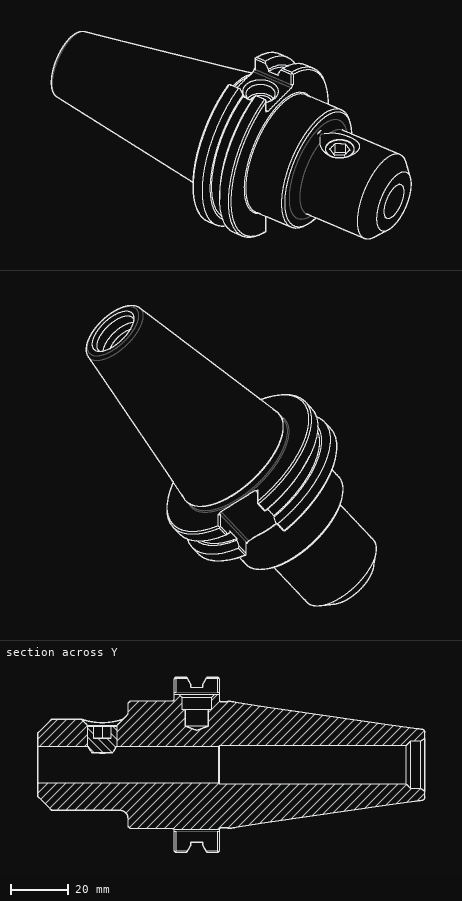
import cadquery as cq
import math

taper_length = 68.3
gauge_dia = 44.5
taper_ratio = 7 / 24
small_end_dia = gauge_dia - taper_ratio * taper_length
small_end_fillet = 1.2
neck_dia = 44.0
neck_chamfer_length = 0.4

flange_start = 71.5
flange_end = 87.4
flange_dia = 63.5
flange_chamfer = 0.7
flange_root_fillet = 0.4
flange_middle = (flange_start + flange_end) / 2

groove_dia = 56.3
groove_floor_width = 4.0
groove_mouth_width = 7.1
groove_flank_depth = 2.7

slot_width = 16.2
upper_slot_floor = 24.5
lower_slot_floor = 22.5
slot_floor_fillet = 0.7
slot_edge_chamfer = 0.7

blind_hole_dia = 10.1
blind_hole_mouth_dia = 12.4
blind_hole_depth = 5.3
pilot_dia = 8.0
pilot_depth = 11.0
drill_point_angle = 140

collar_dia = 44.5
collar_end = 103.4
collar_chamfer = 0.8
nose_dia = 31.8
nose_end = 134.8
nose_chamfer = 4.9
nose_root_fillet = 2.7

draw_bore_dia = 13.3
draw_bore_end = flange_start
tool_bore_dia = 12.7
counterbore_dia = 16.5
counterbore_end = 5.0
bore_mouth_dia = 18.3
bore_mouth_depth = 1.5

cutter_overshoot = 1.3
match_tolerance = 0.01

screw_x = 112.3
screw_dia = 10.0
screw_tip_dia = 7.3
screw_tip_length = 2.2
screw_tip_z = 4.2
screw_head_z = 13.3
screw_hole_mouth_dia = 14.5
hex_across_flats = 6.0
hex_depth = 4.0


def turned_about_x(points):
    """Revolve a half section of (x, radius) points about the X axis."""
    return cq.Workplane("XY").polyline(points).close().revolve(360, (0, 0, 0), (1, 0, 0))


def turned_about_z(points):
    """Revolve a half section of (radius, z) points about the Z axis."""
    return cq.Workplane("XZ").polyline(points).close().revolve(360, (0, 0, 0), (0, 1, 0))


def circle_edges(solid, x, dia):
    """Full circular edges about the X axis at one station, with one diameter."""
    def matches(edge):
        return (
            edge.geomType() == "CIRCLE"
            and abs(edge.Center().x - x) < match_tolerance
            and abs(edge.radius() - dia / 2) < match_tolerance
        )

    return solid.edges().filter(matches)


def make_turned_body():
    rim_radius = flange_dia / 2
    flank_bottom = rim_radius - groove_flank_depth
    nose_radius = nose_dia / 2
    body = turned_about_x([
        (0, 0),
        (0, small_end_dia / 2),
        (taper_length, gauge_dia / 2),
        (taper_length + neck_chamfer_length, neck_dia / 2),
        (flange_start, neck_dia / 2),
        (flange_start, rim_radius),
        (flange_middle - groove_mouth_width / 2, rim_radius),
        (flange_middle - groove_floor_width / 2, flank_bottom),
        (flange_middle - groove_floor_width / 2, groove_dia / 2),
        (flange_middle + groove_floor_width / 2, groove_dia / 2),
        (flange_middle + groove_floor_width / 2, flank_bottom),
        (flange_middle + groove_mouth_width / 2, rim_radius),
        (flange_end, rim_radius),
        (flange_end, collar_dia / 2),
        (collar_end, collar_dia / 2),
        (collar_end, nose_radius),
        (nose_end - nose_chamfer, nose_radius),
        (nose_end, nose_radius - nose_chamfer),
        (nose_end, 0),
    ])
    body = circle_edges(body, 0, small_end_dia).fillet(small_end_fillet)
    body = circle_edges(body, flange_start, neck_dia).fillet(flange_root_fillet)
    body = circle_edges(body, flange_start, flange_dia).chamfer(flange_chamfer)
    body = circle_edges(body, flange_end, flange_dia).chamfer(flange_chamfer)
    body = circle_edges(body, flange_end, collar_dia).fillet(flange_root_fillet)
    body = circle_edges(body, collar_end, nose_dia).fillet(nose_root_fillet)
    return circle_edges(body, collar_end, collar_dia).chamfer(collar_chamfer)


def bevel_bar(length):
    """Square bar along Z from the origin, standing on edge, that bevels a corner on its axis."""
    side = slot_edge_chamfer * math.sqrt(2)
    return (
        cq.Workplane("XY")
        .rect(side, side)
        .extrude(length)
        .rotate((0, 0, 0), (0, 0, 1), 45)
    )


def make_slot_cutter(floor_distance):
    """Drive slot on the +Z side, with bevelled wall edges, that clears the flange root fillets."""
    height = flange_dia / 2 - floor_distance + cutter_overshoot
    start = flange_start - flange_root_fillet
    length = flange_end + flange_root_fillet - start
    cutter = (
        cq.Workplane("XY")
        .box(length, slot_width, height, centered=(False, True, False))
        .edges("|X and <Z").fillet(slot_floor_fillet)
        .translate((start, 0, floor_distance))
    )
    half_width = slot_width / 2
    rim_corner_z = math.sqrt((flange_dia / 2) ** 2 - half_width**2)
    rim_bar = bevel_bar(length).rotate((0, 0, 0), (0, 1, 0), 90)
    face_bar = bevel_bar(height)
    face_bar_z = floor_distance + slot_floor_fillet
    for wall_y in (-half_width, half_width):
        cutter = cutter.union(rim_bar.translate((start, wall_y, rim_corner_z)))
        for face_x in (flange_start, flange_end):
            cutter = cutter.union(face_bar.translate((face_x, wall_y, face_bar_z)))
    return cutter


def make_bore_cutter():
    cone_length = (counterbore_dia - draw_bore_dia) / 2
    step_length = (draw_bore_dia - tool_bore_dia) / 2
    return turned_about_x([
        (0, 0),
        (0, bore_mouth_dia / 2),
        (bore_mouth_depth, counterbore_dia / 2),
        (counterbore_end, counterbore_dia / 2),
        (counterbore_end + cone_length, draw_bore_dia / 2),
        (draw_bore_end, draw_bore_dia / 2),
        (draw_bore_end + step_length, tool_bore_dia / 2),
        (nose_end, tool_bore_dia / 2),
        (nose_end, 0),
    ])


def make_blind_hole_cutter():
    hole_radius = blind_hole_dia / 2
    mouth_radius = blind_hole_mouth_dia / 2
    pilot_radius = pilot_dia / 2
    point_length = pilot_radius / math.tan(math.radians(drill_point_angle / 2))
    cutter = turned_about_z([
        (0, 0),
        (mouth_radius, 0),
        (hole_radius, hole_radius - mouth_radius),
        (hole_radius, -blind_hole_depth),
        (pilot_radius, -blind_hole_depth),
        (pilot_radius, -pilot_depth),
        (0, -pilot_depth - point_length),
    ])
    return cutter.translate((flange_middle, 0, upper_slot_floor))


def make_screw_hole_cutter():
    radius = screw_dia / 2
    mouth_radius = screw_hole_mouth_dia / 2
    nose_top = nose_dia / 2
    cutter = turned_about_z([
        (0, 0),
        (radius, 0),
        (radius, nose_top - (mouth_radius - radius)),
        (mouth_radius + cutter_overshoot, nose_top + cutter_overshoot),
        (0, nose_top + cutter_overshoot),
    ])
    return cutter.translate((screw_x, 0, 0))


def make_holder():
    holder = make_turned_body()
    holder = holder.cut(make_slot_cutter(upper_slot_floor))
    holder = holder.cut(make_slot_cutter(lower_slot_floor).mirror("XY"))
    holder = holder.cut(make_bore_cutter())
    holder = holder.cut(make_blind_hole_cutter())
    return holder.cut(make_screw_hole_cutter())


def make_screw():
    tip_inset = (screw_dia - screw_tip_dia) / 2
    screw = (
        cq.Workplane("XY", origin=(screw_x, 0, screw_tip_z))
        .circle(screw_dia / 2)
        .extrude(screw_head_z - screw_tip_z)
        .faces("<Z").chamfer(screw_tip_length, tip_inset)
    )
    hex_socket = (
        cq.Workplane("XY")
        .polygon(6, hex_across_flats / math.cos(math.radians(30)))
        .extrude(hex_depth)
        .rotate((0, 0, 0), (0, 0, 1), 30)
        .translate((screw_x, 0, screw_head_z - hex_depth))
    )
    return screw.cut(hex_socket)


holder = make_holder()
screw = make_screw()
result = cq.Compound.makeCompound([holder.val(), screw.val()])